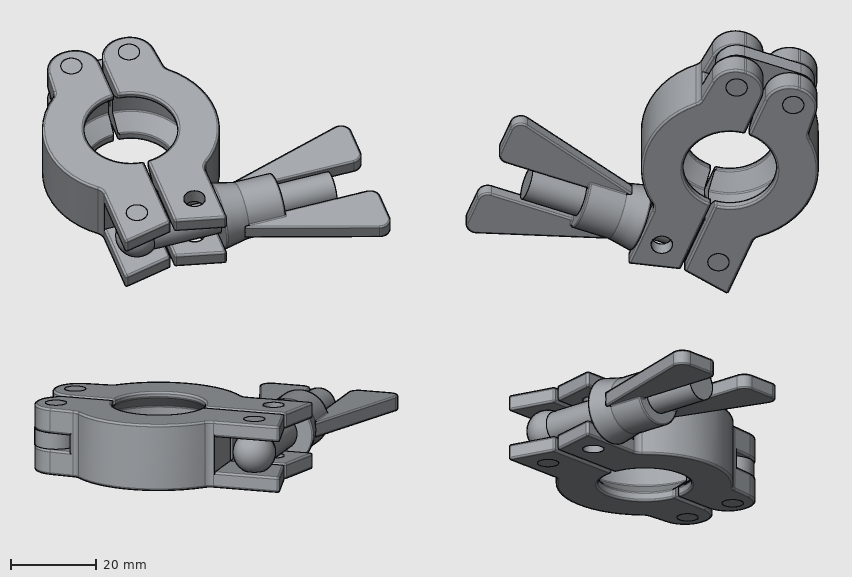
import cadquery as cq
import math


HEIGHT = 16.0
HALF_GAP = 0.5
RING_RADIUS = 20.75
EDGE_FILLET = 0.5
WAIST_FILLET = 2.5

BORE_RADIUS = 11.0
GROOVE_RADIUS = 15.3
GROOVE_HALF_MOUTH = 6.2
GROOVE_HALF_FLOOR = 3.05
GROOVE_CENTER_Z = 0.4

LUG_Y = 12.5
LUG_INNER_X = 31.2
LUG_OUTER_X = 34.0
BOLT_SLOT_HEIGHT = 8.5
BOLT_SLOT_X = 18.0

HINGE_RADIUS = 6.0
HINGE_END_X = -27.95
HINGE_FLAT = 0.5
HINGE_SLOPE = math.radians(5)
HINGE_SLOT_X = -17.6
HINGE_SLOT_HEIGHT = 4.0

PIN_RADIUS = 2.5
PIN_Y = 7.1
HINGE_PIN_X = -23.0
BOLT_X = 26.0

LINK_THICKNESS = HINGE_SLOT_HEIGHT
LINK_RADIUS = 5.0

BOLT_RADIUS = 4.0
BALL_RADIUS = 5.0
BOLT_END_Y = 41.0

NUT_RADIUS = 6.8
NUT_BASE_RADIUS = 8.0
NUT_CONE_END_Y = 18.4
NUT_END_Y = 27.5
NUT_FILLET = 0.3
WING_THICKNESS = 3.6
WING_END_Y = 50.5
WING_INNER_X = 4.8
WING_ROOT_X = 7.0
WING_ROOT_Y = 17.25
WING_SLOPE = math.radians(18.05)
WING_CORNER_RADIUS = 2.5
WING_EDGE_FILLET = 0.4


def slab(outline, thickness):
    """Extrude an XY outline evenly to both sides of Z = 0."""
    return outline.extrude(thickness / 2, both=True)


def pin_cylinder(x, y):
    return slab(cq.Workplane("XY").center(x, y).circle(PIN_RADIUS), HEIGHT)


def jaw_blank():
    """Solid upper jaw: hinge lug, half ring and bolt lug, without holes or slots."""
    cos_s, sin_s = math.cos(HINGE_SLOPE), math.sin(HINGE_SLOPE)
    center_x = HINGE_END_X + HINGE_RADIUS
    inner_center_y = HALF_GAP + HINGE_RADIUS
    outer_center_y = inner_center_y + HINGE_FLAT
    tangent = (center_x - HINGE_RADIUS * sin_s, outer_center_y + HINGE_RADIUS * cos_s)
    offset = outer_center_y * cos_s - center_x * sin_s + HINGE_RADIUS
    along = -math.sqrt(RING_RADIUS**2 - offset**2)
    waist_left = (along * cos_s - offset * sin_s, along * sin_s + offset * cos_s)
    waist_right = (math.sqrt(RING_RADIUS**2 - LUG_Y**2), LUG_Y)
    outline = (
        cq.Workplane("XY")
        .moveTo(center_x, HALF_GAP)
        .radiusArc((HINGE_END_X, inner_center_y), HINGE_RADIUS)
        .lineTo(HINGE_END_X, outer_center_y)
        .radiusArc(tangent, HINGE_RADIUS)
        .lineTo(*waist_left)
        .threePointArc((0, RING_RADIUS), waist_right)
        .lineTo(LUG_OUTER_X, LUG_Y)
        .lineTo(LUG_INNER_X, HALF_GAP)
        .close()
    )
    blank = slab(outline, HEIGHT)
    for x, y in (waist_left, waist_right):
        waist = cq.selectors.NearestToPointSelector((x, y, 0))
        blank = blank.edges("|Z").edges(waist).fillet(WAIST_FILLET)
    return blank


def groove_cutter():
    return (
        cq.Workplane("XZ", origin=(0, 0, GROOVE_CENTER_Z))
        .moveTo(0, -HEIGHT)
        .lineTo(BORE_RADIUS, -HEIGHT)
        .lineTo(BORE_RADIUS, -GROOVE_HALF_MOUTH)
        .lineTo(GROOVE_RADIUS, -GROOVE_HALF_FLOOR)
        .lineTo(GROOVE_RADIUS, GROOVE_HALF_FLOOR)
        .lineTo(BORE_RADIUS, GROOVE_HALF_MOUTH)
        .lineTo(BORE_RADIUS, HEIGHT)
        .lineTo(0, HEIGHT)
        .close()
        .revolve(360, (0, 0, 0), (0, 1, 0))
        .edges(cq.selectors.RadiusNthSelector(-1))
        .fillet(EDGE_FILLET)
    )


def slot_cutter(end_x, direction, height):
    """Horizontal slot, open at the end of the lug, with a flat end face at end_x."""
    length = 2 * RING_RADIUS
    return cq.Workplane("XY").box(length, 2 * length, height).translate((end_x + direction * length / 2, 0, 0))


def is_rounded(edge):
    """True for the sharp outer edges of a jaw, which all carry the edge fillet."""
    tol = 0.01
    box = edge.BoundingBox()
    upright = box.xlen < tol and box.ylen < tol
    crosswise = box.xlen < tol and box.ylen > tol
    at_gap = box.ymax < HALF_GAP + tol
    on_outer_face = abs(box.center.z) > HEIGHT / 2 - tol
    if on_outer_face:
        return True
    if box.xmax < HINGE_SLOT_X + tol:
        return not crosswise and max(box.zmax, -box.zmin) < HINGE_SLOT_HEIGHT / 2 + tol
    if box.xmin > LUG_INNER_X - tol:
        return True
    if box.xmin > BOLT_SLOT_X - tol:
        return at_gap or not (upright or crosswise)
    bore_corner = upright and at_gap and abs(box.xmin) < BORE_RADIUS
    groove_mouth = edge.geomType() == "CIRCLE" and box.ymax < BORE_RADIUS + tol
    return bore_corner or groove_mouth


def build_jaw():
    jaw = (
        jaw_blank()
        .cut(groove_cutter())
        .cut(slot_cutter(HINGE_SLOT_X, -1, HINGE_SLOT_HEIGHT))
        .cut(slot_cutter(BOLT_SLOT_X, 1, BOLT_SLOT_HEIGHT))
    )
    rounded = [edge for edge in jaw.edges().vals() if is_rounded(edge)]
    jaw = jaw.newObject(rounded).fillet(EDGE_FILLET)
    for x in (HINGE_PIN_X, BOLT_X):
        jaw = jaw.cut(pin_cylinder(x, PIN_Y))
    return jaw


def build_link():
    length = 2 * (PIN_Y + LINK_RADIUS)
    outline = cq.Workplane("XY").center(HINGE_PIN_X, 0).slot2D(length, 2 * LINK_RADIUS, 90)
    link = slab(outline, LINK_THICKNESS)
    for y in (-PIN_Y, PIN_Y):
        link = link.cut(pin_cylinder(HINGE_PIN_X, y))
    return link


def build_bolt():
    """Plain round rod ending in a ball eye, flattened to fit the jaw slot."""
    rod = (
        cq.Workplane("XZ", origin=(BOLT_X, -PIN_Y, 0))
        .circle(BOLT_RADIUS)
        .extrude(-(BOLT_END_Y + PIN_Y))
    )
    ball = cq.Workplane("XY").sphere(BALL_RADIUS).translate((BOLT_X, -PIN_Y, 0))
    flats = cq.Workplane("XY").box(2 * BALL_RADIUS, 2 * BALL_RADIUS, BOLT_SLOT_HEIGHT)
    flats = flats.translate((BOLT_X, -PIN_Y, 0))
    return rod.union(ball.intersect(flats)).cut(pin_cylinder(BOLT_X, -PIN_Y))


def wing():
    """Right-hand wing, with its root buried in the nut."""
    tip_x = WING_ROOT_X + (WING_END_Y - WING_ROOT_Y) * math.tan(WING_SLOPE)
    outline = (
        cq.Workplane("XY", origin=(BOLT_X, 0, 0))
        .moveTo(WING_INNER_X, WING_ROOT_Y)
        .lineTo(WING_ROOT_X, WING_ROOT_Y)
        .lineTo(tip_x, WING_END_Y)
        .lineTo(WING_INNER_X, WING_END_Y)
        .close()
    )
    return (
        slab(outline, WING_THICKNESS)
        .edges("|Z and >Y")
        .fillet(WING_CORNER_RADIUS)
        .faces("|Z")
        .edges()
        .fillet(WING_EDGE_FILLET)
    )


def build_wing_nut():
    nut = (
        cq.Workplane("XY", origin=(BOLT_X, 0, 0))
        .moveTo(0, LUG_Y)
        .lineTo(NUT_BASE_RADIUS, LUG_Y)
        .lineTo(NUT_RADIUS, NUT_CONE_END_Y)
        .lineTo(NUT_RADIUS, NUT_END_Y)
        .lineTo(0, NUT_END_Y)
        .close()
        .revolve(360, (0, 0, 0), (0, 1, 0))
        .faces("<Y or >Y")
        .edges()
        .fillet(NUT_FILLET)
    )
    right_wing = wing()
    left_wing = right_wing.mirror("YZ", (BOLT_X, 0, 0))
    barrel = cq.selectors.BoxSelector(
        (BOLT_X - NUT_RADIUS, NUT_CONE_END_Y, -NUT_RADIUS), (BOLT_X + NUT_RADIUS, NUT_END_Y, NUT_RADIUS)
    )
    nut = nut.union(right_wing).union(left_wing)
    nut = nut.edges("|Y").edges(barrel).fillet(NUT_FILLET)
    bolt_hole = cq.Workplane("XZ", origin=(BOLT_X, 0, 0)).circle(BOLT_RADIUS).extrude(-BOLT_END_Y)
    return nut.cut(bolt_hole)


upper_jaw = build_jaw()
lower_jaw = upper_jaw.mirror("XZ")
link = build_link()
bolt = build_bolt()
wing_nut = build_wing_nut()
pins = [pin_cylinder(x, y) for x, y in ((HINGE_PIN_X, PIN_Y), (HINGE_PIN_X, -PIN_Y), (BOLT_X, -PIN_Y))]

result = cq.Compound.makeCompound(
    [
        upper_jaw.val(),
        lower_jaw.val(),
        link.val(),
        bolt.val(),
        wing_nut.val(),
        *[pin.val() for pin in pins],
    ]
)